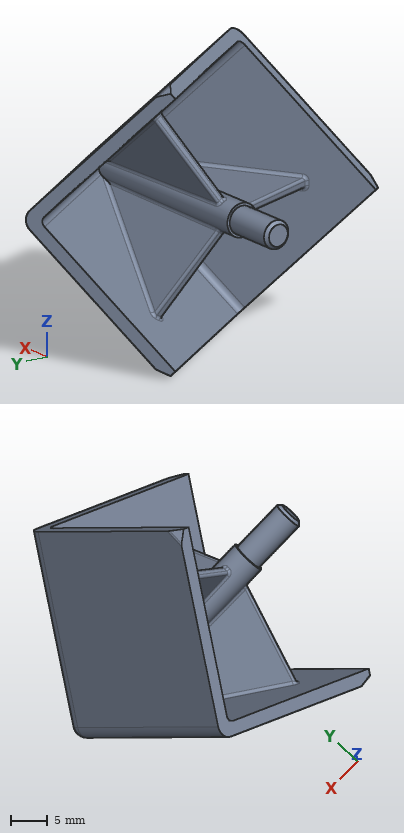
import cadquery as cq
import math


CUBE_EDGE = 30.0
WALL = 2.0
OUTER_ROUND = 2.0
INNER_ROUND = 1.0
TIP_FLAT_RADIUS = 23.67
TIP_FLAT_ROUND = 0.5

COLLAR_DIAMETER = 5.0
COLLAR_RADIUS = COLLAR_DIAMETER / 2
COLLAR_DEPTH = 35.73
PIN_DIAMETER = 4.2
PIN_LENGTH = 8.5
PIN_CHAMFER = 0.5

RIB_THICKNESS = 1.3
RIB_DRAFT = 1.0
RIB_START_DEPTH = 32.7
RIB_FOOT_RADIUS = 17.0
RIB_CREST_ROUND = 0.4
RIB_BASE_ROUND = 0.5

COUNT = 3
STEP_ANGLE = 360.0 / COUNT

BODY_DIAGONAL = math.sqrt(3.0)
WALL_SLOPE = math.sqrt(2.0)

TOUCHING = 1e-4


def edge_direction(index):
    """Unit vector along one of the three cube edges that meet at the origin."""
    angle = math.radians(-STEP_ANGLE * index)
    axial = -1.0 / BODY_DIAGONAL
    radial = math.sqrt(1.0 - axial**2)
    return cq.Vector(axial, radial * math.cos(angle), radial * math.sin(angle))


def rounded_corner(inset, corner_round):
    """Cube moved in from the origin by `inset` along each edge, its three corner edges rounded."""
    plane = cq.Plane(origin=(0, 0, 0), xDir=edge_direction(0), normal=edge_direction(2))
    cube = cq.Workplane(plane).box(CUBE_EDGE, CUBE_EDGE, CUBE_EDGE, centered=False)
    cube = cube.translate(plane.toWorldCoords((inset, inset, inset)))
    return cube.vertices(">X").ancestors("Edge").fillet(corner_round)


def rotated_copies(body):
    """The body at each of the three positions around the X axis."""
    return [body.rotate((0, 0, 0), (1, 0, 0), STEP_ANGLE * index) for index in range(COUNT)]


def make_tip_limit():
    """Triangular prism along X whose three sides are the flats on the free wall corners."""
    corner_circle_diameter = 4 * TIP_FLAT_RADIUS
    return cq.Workplane("YZ").polygon(COUNT, corner_circle_diameter).extrude(-2 * CUBE_EDGE)


def make_walls(outer):
    """Hollow cube corner with a flat on each free wall corner, rounded into the outer face."""
    cavity = rounded_corner(WALL, INNER_ROUND)
    walls = outer.cut(cavity).intersect(make_tip_limit())
    flat_edge = cq.Vertex.makeVertex(-WALL_SLOPE * TIP_FLAT_RADIUS, -TIP_FLAT_RADIUS, 0)
    for center in rotated_copies(flat_edge):
        nearest = cq.selectors.NearestToPointSelector(center.toTuple())
        walls = walls.edges(nearest).fillet(TIP_FLAT_ROUND)
    return walls


def make_pin(outer):
    """Collar that merges into the walls, carrying the thinner chamfered pin."""
    collar = cq.Workplane("YZ").circle(COLLAR_RADIUS).extrude(-COLLAR_DEPTH).intersect(outer)
    pin = cq.Workplane("YZ", origin=(-COLLAR_DEPTH, 0, 0)).circle(PIN_DIAMETER / 2).extrude(-PIN_LENGTH)
    return collar.union(pin.faces("<X").chamfer(PIN_CHAMFER))


def make_rib(outer):
    """Rib on the -Y side: drafted along X, with a sloping rounded crest."""
    foot_depth = WALL_SLOPE * RIB_FOOT_RADIUS + BODY_DIAGONAL * WALL
    crest_slope = (RIB_START_DEPTH - foot_depth) / (RIB_FOOT_RADIUS - COLLAR_RADIUS)
    axis_depth = RIB_START_DEPTH + crest_slope * COLLAR_RADIUS
    reach = CUBE_EDGE
    reach_depth = axis_depth - crest_slope * reach

    draft = math.tan(math.radians(RIB_DRAFT))
    half_base = RIB_THICKNESS / 2 + draft * RIB_START_DEPTH
    half_top = half_base - draft * axis_depth
    section = [(-axis_depth, half_top), (0, half_base), (0, -half_base), (-axis_depth, -half_top)]
    blade = cq.Workplane("XZ").polyline(section).close().extrude(reach)

    profile = [(0, 0), (-axis_depth, 0), (-reach_depth, -reach), (0, -reach)]
    side = cq.Workplane("XY").polyline(profile).close().extrude(half_base, both=True)
    blade = blade.intersect(side)

    crest_center = (-(axis_depth + reach_depth) / 2, -reach / 2, 0)
    crest = blade.faces(cq.selectors.NearestToPointSelector(crest_center))
    return crest.edges("not |Z").fillet(RIB_CREST_ROUND).intersect(outer)


def lies_on(edge, body):
    """True when the ends and the middle of the edge touch the body."""
    points = [edge.positionAt(fraction) for fraction in (0.0, 0.5, 1.0)]
    return all(cq.Vertex.makeVertex(*p.toTuple()).distance(body) < TOUCHING for p in points)


def add_ribs(body, ribs):
    """Join the ribs to the body and round the seams where they meet it."""
    joined = body
    for rib in ribs:
        joined = joined.union(rib)
    seams = []
    for rib in ribs:
        on_rib = [edge for edge in joined.edges().vals() if lies_on(edge, rib.val())]
        seams += [edge for edge in on_rib if lies_on(edge, body.val())]
    return joined.newObject(seams).fillet(RIB_BASE_ROUND)


outer_corner = rounded_corner(0.0, OUTER_ROUND)
cap = make_walls(outer_corner).union(make_pin(outer_corner))
result = add_ribs(cap, rotated_copies(make_rib(outer_corner)))